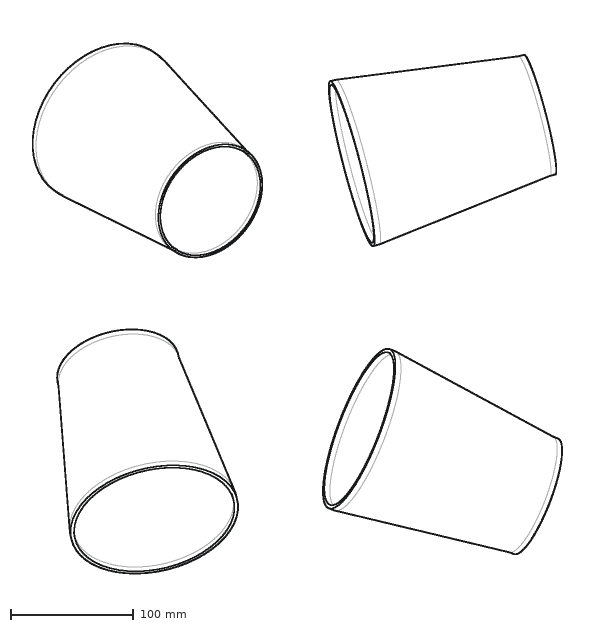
import cadquery as cq

length = 160.0
collar_length = 4.8
large_outer_diameter = 139.8
large_inner_diameter = 133.8
small_outer_diameter = 101.6
small_inner_diameter = 97.6


def tapered_body(large_diameter, small_diameter):
    """Solid of revolution: a cone between two short straight collars."""
    large_radius = large_diameter / 2
    small_radius = small_diameter / 2
    profile = (
        cq.Workplane("XY")
        .moveTo(0, 0)
        .lineTo(0, large_radius)
        .lineTo(collar_length, large_radius)
        .lineTo(length - collar_length, small_radius)
        .lineTo(length, small_radius)
        .lineTo(length, 0)
        .close()
    )
    return profile.revolve(360, (0, 0, 0), (1, 0, 0))


outer_body = tapered_body(large_outer_diameter, small_outer_diameter)
bore = tapered_body(large_inner_diameter, small_inner_diameter)
result = outer_body.cut(bore)